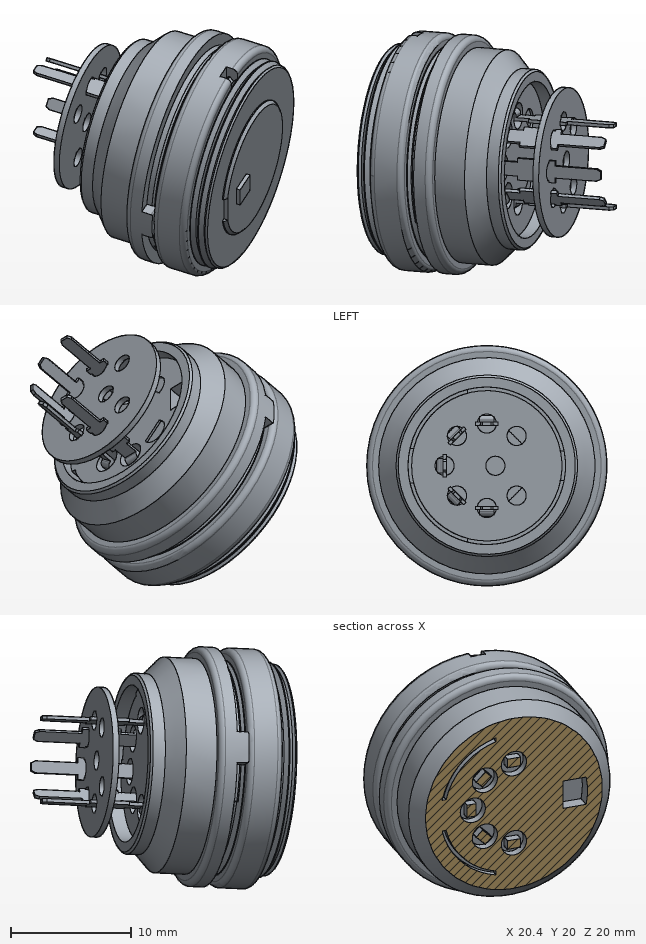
import cadquery as cq


DISC_REAR = 4.53
DISC_FRONT = 5.04
SHELL_REAR = 7.45
INSERT_REAR = 8.53
CONE_START = 8.67
CONE_END = 10.1
FLANGE_REAR = 12.73
FLANGE_FRONT = 14.24
LOCK_RING_FRONT = 14.87
NUT_REAR = 15.22
NUT_FRONT = 18.2
BARREL_FRONT = 19.69
BOSS_FRONT = 20.05
MARKER_FRONT = 20.4

NECK_RADIUS = 15.1 / 2
BODY_RADIUS = 18.0 / 2
RIM_RADIUS = 20 / 2
NECK_CHAMFER = 0.18
RIM_FILLET = 0.49

THREAD_PITCH = 0.75
THREAD_DEPTH = 0.39
THREAD_CREST = 0.08
HALF_GROOVE = (THREAD_PITCH - THREAD_CREST) / 2
LAST_GROOVE = 19.34
GROOVE_COUNT = 7
THREAD_ROOT = BODY_RADIUS - THREAD_DEPTH
BARREL_CHAMFER = 0.33

LOCK_RING_CHAMFER = 0.16
LOCK_RING_OPENING_Z = -4.22

TAB_WIDTH = 2.61
TAB_INNER_RADIUS = 8.85
TAB_FILLET = 0.12
NOTCH_WIDTH = 1.26
NOTCH_LENGTH = 1.02

INSERT_RADIUS = 13.1 / 2
RECESS_INNER_RADIUS = 6.25
RECESS_DEPTH = 1.02
RECESS_TOP_Y = 1.61
RECESS_SIDE_Z = 1.45

KEYWAY_WIDTH = 2.49
REAR_KEYWAY_FLOOR = 4.39
FRONT_KEYWAY_FLOOR = 5.4
KEYWAY_REAR_DEPTH = 1.63

BOSS_RADIUS = 5.85
BOSS_CHAMFER = 0.27
MARKER_WIDTH = 1.71
MARKER_LENGTH = 2.0
MARKER_Y = -2.7

DISC_RADIUS = 12.5 / 2
HOLE_RADIUS = 1.6 / 2
HOLE_CIRCLE_RADIUS = 3.5
CENTRE_HOLE_Y = -0.71

ANGLE_STEP = 45
CONTACT_ANGLES = [i * ANGLE_STEP for i in range(-2, 3)]
UNUSED_ANGLES = [-3 * ANGLE_STEP, 3 * ANGLE_STEP]
CONTACT_THICKNESS = 0.29
TIP_WIDTH = 0.67
TIP_LENGTH = 0.35
BLADE_WIDTH = 1.02
SHOULDER_WIDTH = 1.85
SHOULDER_START = 4.0
SHOULDER_END = 7.32
SHANK_WIDTH = 1.18
SHANK_OUTER_Y = 4.2
SHANK_ROUND = 0.4
POCKET_RADIUS = 2.2 / 2
POCKET_CIRCLE_RADIUS = 3.67
POCKET_DEPTH = 1.22
STEP_DEPTH = 0.2
CONTACT_INNER_FACE = HOLE_CIRCLE_RADIUS - CONTACT_THICKNESS / 2


def cylinder(start, end, radius):
    """Solid cylinder on the X axis."""
    return cq.Workplane("YZ").workplane(offset=start).circle(radius).extrude(end - start)


def block(x_range, y_range, z_range):
    """Box given by its limits along each axis."""
    (x0, x1), (y0, y1), (z0, z1) = x_range, y_range, z_range
    return cq.Workplane("XY").box(x1 - x0, y1 - y0, z1 - z0, centered=False).translate((x0, y0, z0))


def around_axis(solid, angle):
    """Turn a solid about the X axis, from +Y towards +Z."""
    return solid.rotate((0, 0, 0), (1, 0, 0), angle)


def make_shell():
    """Neck, cone and body up to the flange face, with the insert set in its rear opening."""
    profile = [
        (INSERT_REAR, 0),
        (INSERT_REAR, INSERT_RADIUS),
        (SHELL_REAR, INSERT_RADIUS),
        (SHELL_REAR, NECK_RADIUS - NECK_CHAMFER),
        (SHELL_REAR + NECK_CHAMFER, NECK_RADIUS),
        (CONE_START, NECK_RADIUS),
        (CONE_END, BODY_RADIUS),
        (FLANGE_FRONT, BODY_RADIUS),
        (FLANGE_FRONT, 0),
    ]
    return cq.Workplane("XY").polyline(profile).close().revolve(360, (0, 0, 0), (1, 0, 0))


def make_flange():
    """Rounded flange with a locking tab at -Y that reaches the nut."""
    flange = cylinder(FLANGE_REAR, FLANGE_FRONT, RIM_RADIUS).faces("<X").edges().fillet(RIM_FILLET)
    half_width = TAB_WIDTH / 2
    tab = block((FLANGE_FRONT, NUT_REAR), (-RIM_RADIUS, -TAB_INNER_RADIUS), (-half_width, half_width))
    tab = tab.faces(">X").edges("|Y").fillet(TAB_FILLET)
    tab = tab.intersect(cylinder(FLANGE_FRONT, NUT_REAR, RIM_RADIUS))
    return flange.union(tab)


def make_barrel():
    """Barrel with evenly spaced V grooves, which stand in for the thread."""
    profile = [(FLANGE_FRONT, 0), (FLANGE_FRONT, BODY_RADIUS)]
    for i in reversed(range(GROOVE_COUNT)):
        centre = LAST_GROOVE - i * THREAD_PITCH
        profile += [
            (centre - HALF_GROOVE, BODY_RADIUS),
            (centre, THREAD_ROOT),
            (centre + HALF_GROOVE, BODY_RADIUS),
        ]
    profile += [(BARREL_FRONT, BODY_RADIUS), (BARREL_FRONT, 0)]
    barrel = cq.Workplane("XY").polyline(profile).close().revolve(360, (0, 0, 0), (1, 0, 0))
    envelope = cylinder(FLANGE_FRONT, BARREL_FRONT, BODY_RADIUS).faces(">X").chamfer(BARREL_CHAMFER)
    return barrel.intersect(envelope)


def make_lock_ring():
    """Smooth open ring against the flange, with its gap at -Z."""
    ring = cylinder(FLANGE_FRONT, LOCK_RING_FRONT, BODY_RADIUS).faces(">X").chamfer(LOCK_RING_CHAMFER)
    keep = block(
        (FLANGE_FRONT, LOCK_RING_FRONT),
        (-BODY_RADIUS, BODY_RADIUS),
        (LOCK_RING_OPENING_Z, BODY_RADIUS),
    )
    return ring.intersect(keep)


def make_nut():
    """Round nut with a spanner notch at +Z that opens onto the thread."""
    nut = cylinder(NUT_REAR, NUT_FRONT, RIM_RADIUS).faces("<X or >X").edges().fillet(RIM_FILLET)
    nut = nut.cut(cylinder(NUT_REAR, NUT_FRONT, THREAD_ROOT - THREAD_DEPTH))
    half_width = NOTCH_WIDTH / 2
    notch = block((NUT_FRONT - NOTCH_LENGTH, NUT_FRONT), (-half_width, half_width), (0, RIM_RADIUS))
    return nut.cut(notch)


def make_boss():
    """Chamfered front boss with the keyway and the raised marker."""
    half_keyway = KEYWAY_WIDTH / 2
    half_marker = MARKER_WIDTH / 2
    half_length = MARKER_LENGTH / 2
    boss = cylinder(BARREL_FRONT, BOSS_FRONT, BOSS_RADIUS).faces(">X").chamfer(BOSS_CHAMFER)
    boss = boss.cut(
        block((BARREL_FRONT, BOSS_FRONT), (-BOSS_RADIUS, -FRONT_KEYWAY_FLOOR), (-half_keyway, half_keyway))
    )
    marker = block(
        (BOSS_FRONT, MARKER_FRONT),
        (MARKER_Y - half_length, MARKER_Y + half_length),
        (-half_marker, half_marker),
    )
    return boss.union(marker)


def make_rear_keyway():
    """Keyway cutter in the rear of the insert, closed outside by the shell wall."""
    half_width = KEYWAY_WIDTH / 2
    end = INSERT_REAR + KEYWAY_REAR_DEPTH
    slot = block((INSERT_REAR, end), (-INSERT_RADIUS, -REAR_KEYWAY_FLOOR), (-half_width, half_width))
    return slot.intersect(cylinder(INSERT_REAR, end, INSERT_RADIUS))


def make_rear_recess(side):
    """Curved recess cutter along the edge of the insert at +Y, above (1) or below (-1)."""
    end = INSERT_REAR + RECESS_DEPTH
    ring = cylinder(INSERT_REAR, end, INSERT_RADIUS).cut(cylinder(INSERT_REAR, end, RECESS_INNER_RADIUS))
    z_limits = sorted((side * RECESS_SIDE_Z, side * INSERT_RADIUS))
    return ring.intersect(block((INSERT_REAR, end), (RECESS_TOP_Y, INSERT_RADIUS), z_limits))


def make_pocket(angle):
    """Round contact pocket cutter in the rear of the insert."""
    pocket = cylinder(INSERT_REAR, INSERT_REAR + POCKET_DEPTH, POCKET_RADIUS)
    return around_axis(pocket.translate((0, POCKET_CIRCLE_RADIUS, 0)), angle)


def make_unused_step(angle):
    """Shallow D-shaped step cutter at a position without a contact."""
    end = INSERT_REAR + STEP_DEPTH
    step = cylinder(INSERT_REAR, end, POCKET_RADIUS).translate((0, POCKET_CIRCLE_RADIUS, 0))
    outside = block(
        (INSERT_REAR, end), (CONTACT_INNER_FACE, INSERT_RADIUS), (-POCKET_RADIUS, POCKET_RADIUS)
    )
    return around_axis(step.intersect(outside), angle)


def make_contact(angle):
    """Flat shouldered blade with a rounded shank in its pocket."""
    pocket_floor = INSERT_REAR + POCKET_DEPTH
    half_outline = [
        (0, TIP_WIDTH / 2),
        (TIP_LENGTH, BLADE_WIDTH / 2),
        (SHOULDER_START, BLADE_WIDTH / 2),
        (SHOULDER_START, SHOULDER_WIDTH / 2),
        (SHOULDER_END, SHOULDER_WIDTH / 2),
        (SHOULDER_END, SHANK_WIDTH / 2),
        (pocket_floor, SHANK_WIDTH / 2),
    ]
    mirrored = [(x, -z) for x, z in reversed(half_outline)]
    blade = (
        cq.Workplane("XZ", origin=(0, HOLE_CIRCLE_RADIUS, 0))
        .polyline(half_outline + mirrored)
        .close()
        .extrude(CONTACT_THICKNESS / 2, both=True)
    )
    half_shank = SHANK_WIDTH / 2
    shank = block(
        (INSERT_REAR, pocket_floor),
        (CONTACT_INNER_FACE, SHANK_OUTER_Y),
        (-half_shank, half_shank),
    )
    shank = shank.faces("<X").edges(">Y").fillet(SHANK_ROUND)
    return around_axis(blade.union(shank), angle)


def make_disc():
    """Thin rear disc with a ring of contact holes and one off-centre hole."""
    disc = cylinder(DISC_REAR, DISC_FRONT, DISC_RADIUS)
    hole = cylinder(DISC_REAR, DISC_FRONT, HOLE_RADIUS)
    disc = disc.cut(hole.translate((0, CENTRE_HOLE_Y, 0)))
    for angle in CONTACT_ANGLES + UNUSED_ANGLES:
        disc = disc.cut(around_axis(hole.translate((0, HOLE_CIRCLE_RADIUS, 0)), angle))
    return disc


result = make_shell().cut(make_rear_keyway())
for side in (1, -1):
    result = result.cut(make_rear_recess(side))
for angle in CONTACT_ANGLES:
    result = result.cut(make_pocket(angle))
for angle in UNUSED_ANGLES:
    result = result.cut(make_unused_step(angle))
result = result.union(make_flange()).union(make_barrel()).union(make_lock_ring())
result = result.union(make_nut()).union(make_boss())

result = result.union(make_disc())
for angle in CONTACT_ANGLES:
    result = result.union(make_contact(angle))